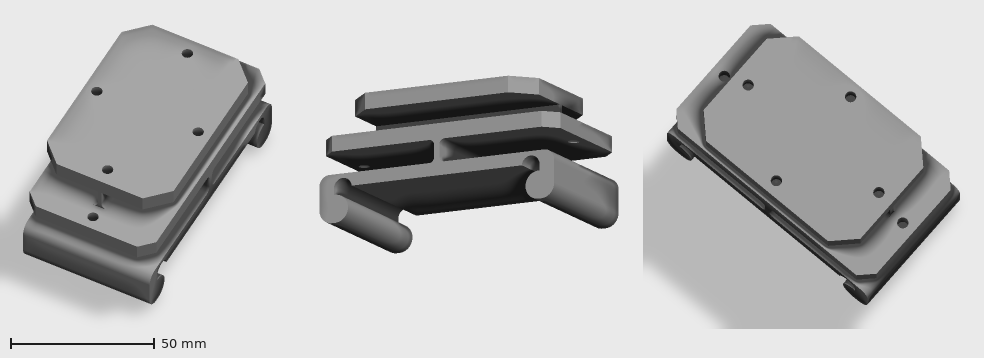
import cadquery as cq
import math

width = 50.0
length = 92
height = 45.5

top_plate_thickness = 6.0
top_plate_length = 72.0
top_plate_chamfer = 8.0
middle_plate_thickness = 5.7
middle_plate_chamfer = 5.0
middle_plate_top = 31.5
middle_plate_bottom = middle_plate_top - middle_plate_thickness
top_plate_bottom = height - top_plate_thickness

upper_web_thickness = 1.5
lower_web_thickness = 2.0
web_fillet = 2.0

base_top = 17.5
base_bottom = 12.7
base_corner_radius = 4.0
hook_wall = 5.7
hook_tip_reach = 11.2
hook_tip_radius = 5.1
groove_radius = 3.5
groove_center_z = 12.3

hole_diameter = 4.0
hole_edge_distance = 5.0
top_hole_end_distance = 6.0
top_hole_depth = 5.0


def chamfered_plate(plate_length, thickness, chamfer, bottom):
    """Plate across the full width with its four vertical edges chamfered."""
    plate = cq.Workplane("XY", origin=(0, 0, bottom)).rect(width, plate_length).extrude(thickness)
    return plate.edges("|Z").chamfer(chamfer)


def hook_half_profile():
    """Base section on the +Y side: a flat bar ending in an inward hook."""
    outer = length / 2
    wall = outer - hook_wall
    groove_y = wall - groove_radius
    groove_end = groove_y - math.sqrt(groove_radius**2 - (base_bottom - groove_center_z) ** 2)
    tip_center = outer - hook_tip_reach + hook_tip_radius
    diagonal = math.sqrt(0.5)
    corner_y = outer - base_corner_radius * (1 - diagonal)
    corner_z = base_top - base_corner_radius * (1 - diagonal)
    lower_y = outer - hook_tip_radius * (1 - diagonal)
    lower_z = hook_tip_radius * (1 - diagonal)
    return (
        cq.Workplane("YZ", origin=(-width / 2, 0, 0))
        .moveTo(0, base_bottom)
        .lineTo(0, base_top)
        .lineTo(outer - base_corner_radius, base_top)
        .threePointArc((corner_y, corner_z), (outer, base_top - base_corner_radius))
        .lineTo(outer, hook_tip_radius)
        .threePointArc((lower_y, lower_z), (outer - hook_tip_radius, 0))
        .lineTo(tip_center, 0)
        .threePointArc((outer - hook_tip_reach, hook_tip_radius), (tip_center, 2 * hook_tip_radius))
        .lineTo(wall, 2 * hook_tip_radius)
        .lineTo(wall, groove_center_z)
        .threePointArc((groove_y, groove_center_z + groove_radius), (groove_end, base_bottom))
        .close()
    )


def hooked_base():
    half = hook_half_profile().extrude(width)
    return half.union(half.mirror("XZ"))


def fillet_section(plane, side, web_thickness, level, direction):
    """Concave corner section between a web face and a plate face."""
    face = side * web_thickness / 2
    far = face + side * web_fillet
    away = level + direction * web_fillet
    inset = web_fillet * (1 - math.sqrt(0.5))
    return (
        plane.moveTo(face, level)
        .lineTo(far, level)
        .threePointArc((face + side * inset, level + direction * inset), (face, away))
        .close()
    )


def upper_web():
    """Web along Y under the top plate, filleted at its foot only."""
    web_height = top_plate_bottom - middle_plate_top
    web = cq.Workplane("XY", origin=(0, 0, middle_plate_top))
    web = web.rect(upper_web_thickness, top_plate_length).extrude(web_height)
    for side in (-1, 1):
        plane = cq.Workplane("XZ", origin=(0, top_plate_length / 2, 0))
        section = fillet_section(plane, side, upper_web_thickness, middle_plate_top, 1)
        web = web.union(section.extrude(top_plate_length))
    return web


def lower_web():
    """Web along X under the middle plate, filleted at head and foot."""
    web = cq.Workplane("XY", origin=(0, 0, base_top))
    web = web.rect(width, lower_web_thickness).extrude(middle_plate_bottom - base_top)
    for side in (-1, 1):
        for level, direction in ((base_top, 1), (middle_plate_bottom, -1)):
            plane = cq.Workplane("YZ", origin=(-width / 2, 0, 0))
            section = fillet_section(plane, side, lower_web_thickness, level, direction)
            web = web.union(section.extrude(width))
    return web


def holes_down(points, top, depth):
    """Vertical hole cutters reaching down from a plate face."""
    return cq.Workplane("XY", origin=(0, 0, top)).pushPoints(points).circle(hole_diameter / 2).extrude(-depth)


top_hole_x = width / 2 - hole_edge_distance
top_hole_y = top_plate_length / 2 - top_hole_end_distance
top_hole_points = [(-top_hole_x, 0), (top_hole_x, 0), (0, -top_hole_y), (0, top_hole_y)]
top_plate = chamfered_plate(top_plate_length, top_plate_thickness, top_plate_chamfer, top_plate_bottom)
top_plate = top_plate.cut(holes_down(top_hole_points, height, top_hole_depth))

middle_hole_y = length / 2 - hole_edge_distance
middle_hole_points = [(0, -middle_hole_y), (0, middle_hole_y)]
middle_plate = chamfered_plate(length, middle_plate_thickness, middle_plate_chamfer, middle_plate_bottom)
middle_plate = middle_plate.cut(holes_down(middle_hole_points, middle_plate_top, middle_plate_thickness))

result = hooked_base().union(lower_web()).union(middle_plate).union(upper_web()).union(top_plate).clean()